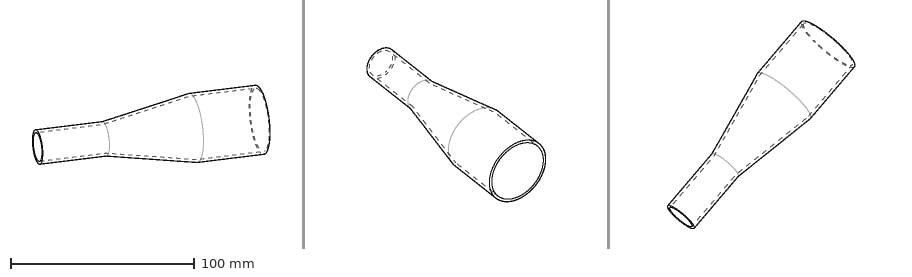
import cadquery as cq

large_diameter = 38.1
small_diameter = large_diameter / 2
wall = 1.7
total_length = 127.0
end_length = 38.1

small_end_y = -total_length / 2
large_end_y = total_length / 2
cone_start_y = small_end_y + end_length
cone_end_y = large_end_y - end_length


def reducer_body(small_radius, large_radius):
    """Solid of revolution: small cylinder, cone, large cylinder."""
    return (
        cq.Workplane("XY")
        .moveTo(0, small_end_y)
        .lineTo(small_radius, small_end_y)
        .lineTo(small_radius, cone_start_y)
        .lineTo(large_radius, cone_end_y)
        .lineTo(large_radius, large_end_y)
        .lineTo(0, large_end_y)
        .close()
        .revolve(360, (0, 0, 0), (0, 1, 0))
    )


outside = reducer_body(small_diameter / 2, large_diameter / 2)
bore = reducer_body(small_diameter / 2 - wall, large_diameter / 2 - wall)

result = outside.cut(bore)